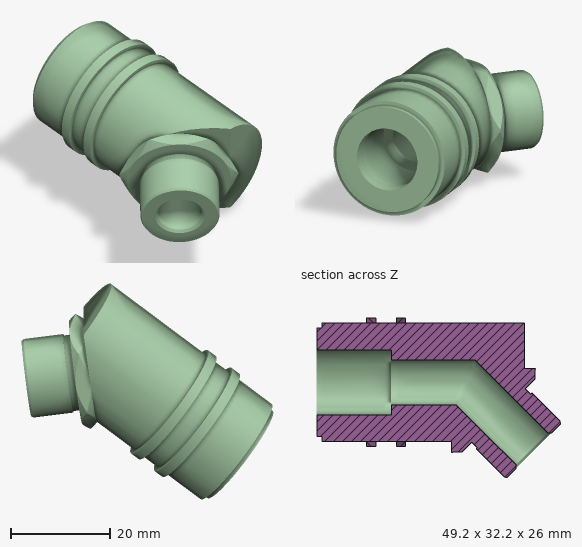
import cadquery as cq
import math

barrel_radius = 12.0
barrel_end = 42.0
lip_radius = 11.0
lip_length = 1.0
socket_radius = 6.5
socket_depth = 15.0
bore_radius = 4.5

ring_radius = 13.0
ring_width = 2.0
ring_starts = (10.0, 16.0)

elbow_x = 30.0
branch_angle = 45.0
hex_start = 6.5
hex_sides = 6
hex_flats = 21.0
hex_thickness = 3.0
hex_corner_diameter = hex_flats / math.cos(math.pi / hex_sides)
neck_radius = 7.7
neck_length = 1.5
spigot_radius = 8.0
branch_length = 13.0
spigot_end = hex_start + branch_length
spigot_bevel_length = 0.5
spigot_bevel_angle = 30.0
bore_bevel = 0.5

branch_x = math.cos(math.radians(branch_angle))
branch_y = -math.sin(math.radians(branch_angle))


def branch_plane(distance):
    """Plane square to the branch axis at a distance from the elbow, its local X lying in the XY plane."""
    return cq.Plane(
        origin=(elbow_x + distance * branch_x, distance * branch_y, 0),
        xDir=(-branch_y, branch_x, 0),
        normal=(branch_x, branch_y, 0),
    )


def along_x(start, end, radius):
    """Cylinder on the barrel axis."""
    return cq.Workplane("YZ", origin=(start, 0, 0)).circle(radius).extrude(end - start)


def make_barrel():
    """Barrel with a stepped lip, sliced off by the plane that carries the hexagon."""
    barrel = along_x(0, lip_length, lip_radius).union(along_x(lip_length, barrel_end, barrel_radius))
    slice_size = 2 * barrel_end
    beyond_slice = cq.Workplane(branch_plane(hex_start)).rect(slice_size, slice_size).extrude(barrel_end)
    return barrel.cut(beyond_slice)


def turned_on_branch(profile):
    """Solid turned about the branch axis from (radius, distance from the elbow) points."""
    profile_plane = cq.Plane(
        origin=(elbow_x, 0, 0),
        xDir=(-branch_y, branch_x, 0),
        normal=(0, 0, 1),
    )
    points = [(radius, -distance) for radius, distance in profile]
    return cq.Workplane(profile_plane).polyline(points).close().revolve(360, (0, 0), (0, 1))


def make_hexagon():
    """Hexagon with its corners beveled at 45 degrees from both faces."""
    hex_end = hex_start + hex_thickness
    half_thickness = hex_thickness / 2
    face_radius = hex_flats / 2
    double_cone = turned_on_branch([
        (0, hex_start),
        (face_radius, hex_start),
        (face_radius + half_thickness, hex_start + half_thickness),
        (face_radius, hex_end),
        (0, hex_end),
    ])
    hexagon = cq.Workplane(branch_plane(hex_start)).polygon(hex_sides, hex_corner_diameter)
    prism = hexagon.extrude(hex_thickness)
    return prism.intersect(double_cone)


def make_spigot():
    """Neck and spigot with a beveled tip."""
    neck_start = hex_start + hex_thickness
    neck_end = neck_start + neck_length
    bevel_depth = spigot_bevel_length * math.tan(math.radians(spigot_bevel_angle))
    return turned_on_branch([
        (0, neck_start),
        (neck_radius, neck_start),
        (neck_radius, neck_end),
        (spigot_radius, neck_end),
        (spigot_radius, spigot_end - spigot_bevel_length),
        (spigot_radius - bevel_depth, spigot_end),
        (0, spigot_end),
    ])


def make_passage():
    """Socket, mitred elbow bore and the bevel at the spigot mouth."""
    socket = along_x(0, socket_depth, socket_radius)
    bore_path = cq.Workplane("XY").polyline([
        (0, 0),
        (elbow_x, 0),
        (elbow_x + spigot_end * branch_x, spigot_end * branch_y),
    ])
    bore = cq.Workplane("YZ").circle(bore_radius).sweep(bore_path, transition="right")
    mouth = turned_on_branch([
        (0, spigot_end - bore_bevel),
        (bore_radius, spigot_end - bore_bevel),
        (bore_radius + bore_bevel, spigot_end),
        (0, spigot_end),
    ])
    return socket.union(bore).union(mouth)


def make_housing():
    """Barrel, hexagon and spigot in one piece, opened by the passage."""
    solid_housing = make_barrel().union(make_hexagon()).union(make_spigot())
    return solid_housing.cut(make_passage()).solids()


def make_ring(start):
    """Band seated on the outside of the barrel."""
    end = start + ring_width
    return along_x(start, end, ring_radius).cut(along_x(start, end, barrel_radius)).solids()


housing = make_housing()
rings = [make_ring(start) for start in ring_starts]

result = cq.Compound.makeCompound([housing.val(), *[ring.val() for ring in rings]])